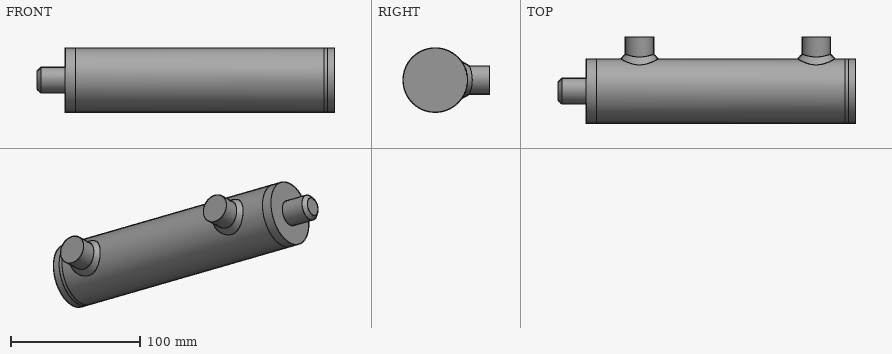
import cadquery as cq
import math

total_length = 230.0
body_diameter = 50.0
body_radius = body_diameter / 2

front_cap_start = 21.8
barrel_start = 30.0
rear_ring_start = 221.7
rear_cap_start = 224.5

rod_diameter = 20.0
rod_chamfer = 3.0

port_diameter = 22.0
port_radius = port_diameter / 2
port_end_y = 67.0 - body_radius
port_positions = [63.0, 199.6]
weld_height = 3.7
weld_width = 3.5
weld_overrun = 0.3
weld_curve_points = 48


def x_cylinder(diameter, start, end):
    """Solid cylinder on the main axis between two X stations."""
    return cq.Workplane("YZ", origin=(start, 0, 0)).circle(diameter / 2).extrude(end - start)


def make_rod():
    """Chamfered rod that passes through the front cap up to the barrel."""
    return x_cylinder(rod_diameter, 0, barrel_start).faces("<X").chamfer(rod_chamfer)


def make_front_cap():
    """End disc with a through hole for the rod."""
    disc = x_cylinder(body_diameter, front_cap_start, barrel_start)
    return disc.cut(x_cylinder(rod_diameter, front_cap_start, barrel_start))


def make_barrel():
    return x_cylinder(body_diameter, barrel_start, rear_ring_start)


def make_rear_ring():
    return x_cylinder(body_diameter, rear_ring_start, rear_cap_start)


def make_rear_cap():
    return x_cylinder(body_diameter, rear_cap_start, total_length)


def port_cylinder(x):
    """Full port cylinder, from the main axis out to the port end."""
    circle = cq.Workplane("XZ", origin=(x, 0, 0)).circle(port_radius)
    return circle.extrude(-port_end_y)


def make_port(x):
    """Port stub whose inner end is saddled onto the barrel."""
    return port_cylinder(x).cut(make_barrel())


def saddle_height(radius, cylinder_radius, angle):
    """Y on a cylinder about the main axis, at a polar position around a port axis."""
    return math.sqrt(cylinder_radius**2 - (radius * math.sin(angle))**2)


def weld_slope_curve(x, fraction):
    """Closed curve on the weld slope: fraction 0 is its port edge, 1 its barrel edge."""
    radius = port_radius + fraction * weld_width
    points = []
    for i in range(weld_curve_points):
        angle = 2 * math.pi * i / weld_curve_points
        port_edge_y = saddle_height(port_radius, body_radius + weld_height, angle)
        barrel_edge_y = saddle_height(port_radius + weld_width, body_radius, angle)
        y = port_edge_y + fraction * (barrel_edge_y - port_edge_y)
        points.append(cq.Vector(x + radius * math.cos(angle), y, radius * math.sin(angle)))
    return cq.Edge.makeSpline(points, periodic=True)


def make_weld(x):
    """Triangular weld ring filling the saddle corner between port and barrel."""
    inner = weld_slope_curve(x, -weld_overrun)
    outer = weld_slope_curve(x, 1 + weld_overrun)
    root = inner.translate(cq.Vector(0, -body_radius / 2, 0))
    sides = [(inner, outer), (outer, root), (root, inner)]
    faces = [cq.Face.makeRuledSurface(first, second) for first, second in sides]
    blank = cq.Solid.makeSolid(cq.Shell.makeShell(faces)).fix()
    return cq.Workplane(blank).cut(port_cylinder(x)).cut(make_barrel())


rod = make_rod()
front_cap = make_front_cap()
barrel = make_barrel()
rear_ring = make_rear_ring()
rear_cap = make_rear_cap()
ports = [make_port(x) for x in port_positions]
welds = [make_weld(x) for x in port_positions]

result = cq.Compound.makeCompound([
    rod.val(),
    front_cap.val(),
    barrel.val(),
    rear_ring.val(),
    rear_cap.val(),
    *[port.solids().val() for port in ports],
    *[weld.solids().val() for weld in welds],
])